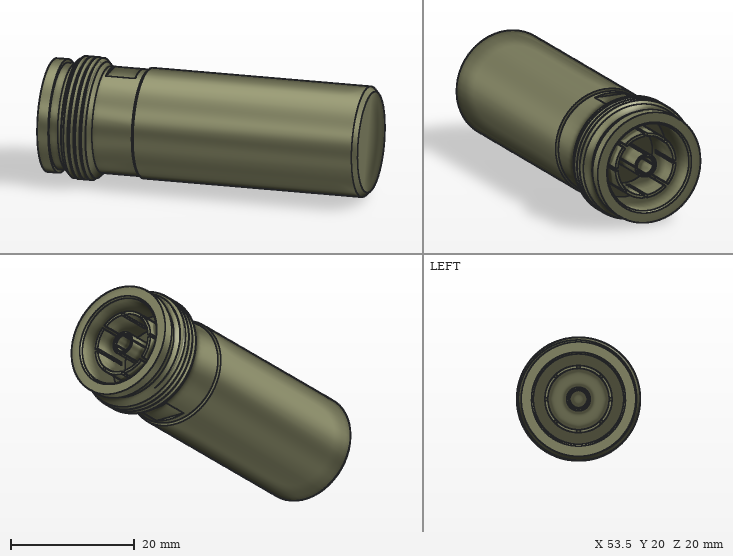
import cadquery as cq


TOTAL_LENGTH = 53.5
THREAD_RADIUS = 10.0

FLANGE_RADIUS = 9.25
FLANGE_LENGTH = 1.85
NECK_RADIUS = 8.67
COLLAR_START = 3.3
COLLAR_END = 9.05
NECK_END = 15.7
GROOVE_WIDTH = 0.35
GROOVE_RADIUS = 8.1
BODY_RADIUS = 9.0
BODY_CHAMFER = 0.8

THREAD_PITCH = 1.0
THREAD_DEPTH = 0.7
CREST_WIDTH = 0.12
THREAD_TURNS = 6
CUTTER_CLEARANCE = 0.1
TURNS_BEFORE_CENTRE = 2
GROOVE_CENTRE_AT_TOP = 5.35

FLAT_START = 9.7
FLAT_LENGTH = 4.9
FLAT_HEIGHT = 8.25

CAVITY_DEPTH = 9.0
CAVITY_RADIUS = 7.3
CAVITY_CHAMFER = 0.3
SLEEVE_OUTER_RADIUS = 5.43
SLEEVE_INNER_RADIUS = 4.95
SLEEVE_TIP = 1.3
SLEEVE_SLOTS = 8
SLEEVE_SLOT_WIDTH = 0.5
SLOT_END = 8.0
PIN_RADIUS = 1.9
PIN_HOLE_RADIUS = 1.4
PIN_HOLE_CHAMFER = 0.2
PIN_TIP = 1.3
PIN_SLOTS = 4
PIN_SLOT_WIDTH = 0.2


def cylinder(radius, start, end):
    """Solid cylinder on the X axis between two X positions."""
    return cq.Workplane("YZ", origin=(start, 0, 0)).circle(radius).extrude(end - start)


def make_outer_body():
    rise = THREAD_RADIUS - NECK_RADIUS
    body_start = NECK_END + GROOVE_WIDTH
    profile = [
        (0, 0),
        (0, FLANGE_RADIUS),
        (FLANGE_LENGTH, FLANGE_RADIUS),
        (FLANGE_LENGTH, NECK_RADIUS),
        (COLLAR_START, NECK_RADIUS),
        (COLLAR_START + rise, THREAD_RADIUS),
        (COLLAR_END - rise, THREAD_RADIUS),
        (COLLAR_END, NECK_RADIUS),
        (NECK_END, NECK_RADIUS),
        (NECK_END, GROOVE_RADIUS),
        (body_start, GROOVE_RADIUS),
        (body_start, BODY_RADIUS),
        (TOTAL_LENGTH - BODY_CHAMFER, BODY_RADIUS),
        (TOTAL_LENGTH, BODY_RADIUS - BODY_CHAMFER),
        (TOTAL_LENGTH, 0),
    ]
    return cq.Workplane("XZ").polyline(profile).close().revolve(360, (0, 0, 0), (1, 0, 0))


def make_thread_cutter():
    """Left-handed helical V-groove that runs out through both sloping collar ends."""
    half_width = (THREAD_PITCH - CREST_WIDTH) / 2
    half_outer = half_width * (THREAD_DEPTH + CUTTER_CLEARANCE) / THREAD_DEPTH
    root_radius = THREAD_RADIUS - THREAD_DEPTH
    outer_radius = THREAD_RADIUS + CUTTER_CLEARANCE
    start = GROOVE_CENTRE_AT_TOP - TURNS_BEFORE_CENTRE * THREAD_PITCH

    helix = cq.Wire.makeHelix(THREAD_PITCH, THREAD_TURNS * THREAD_PITCH, root_radius, lefthand=True)
    groove_profile = [(root_radius, 0), (outer_radius, half_outer), (outer_radius, -half_outer)]
    cutter = cq.Workplane("XZ").polyline(groove_profile).close().sweep(cq.Workplane(helix), isFrenet=True)
    cutter = cutter.rotate((0, 0, 0), (0, 1, 0), 90).rotate((0, 0, 0), (1, 0, 0), 180)
    return cutter.translate((start, 0, 0))


def make_flat_cutters():
    depth = BODY_RADIUS - FLAT_HEIGHT
    upper = cq.Workplane("XY").box(FLAT_LENGTH, 2 * BODY_RADIUS, depth, centered=(False, True, False))
    upper = upper.translate((FLAT_START, 0, FLAT_HEIGHT))
    return upper.union(upper.mirror("XY"))


def make_slot_cutter(count, width, radius, start):
    """Radial slots through a tube, from its tip to a point short of the cavity floor."""
    bar_span = 2 * (radius + width)
    bars = cq.Workplane("XY")
    for index in range(count // 2):
        bar = cq.Workplane("XY").box(SLOT_END - start, bar_span, width, centered=(False, True, True))
        bars = bars.union(bar.rotate((0, 0, 0), (1, 0, 0), index * 360 / count))
    return bars.translate((start, 0, 0))


def make_cavity():
    cavity = cylinder(CAVITY_RADIUS, 0, CAVITY_DEPTH)
    mouth = cq.Solid.makeCone(
        CAVITY_RADIUS + CAVITY_CHAMFER, CAVITY_RADIUS, CAVITY_CHAMFER, cq.Vector(0, 0, 0), cq.Vector(1, 0, 0)
    )
    return cavity.union(mouth)


def make_sleeve():
    sleeve = cylinder(SLEEVE_OUTER_RADIUS, SLEEVE_TIP, CAVITY_DEPTH)
    sleeve = sleeve.cut(cylinder(SLEEVE_INNER_RADIUS, SLEEVE_TIP, CAVITY_DEPTH))
    return sleeve.cut(make_slot_cutter(SLEEVE_SLOTS, SLEEVE_SLOT_WIDTH, SLEEVE_OUTER_RADIUS, SLEEVE_TIP))


def make_pin():
    pin = cylinder(PIN_RADIUS, PIN_TIP, CAVITY_DEPTH)
    pin = pin.cut(cylinder(PIN_HOLE_RADIUS, PIN_TIP, CAVITY_DEPTH))
    pin = pin.faces("<X").edges("%CIRCLE").edges(cq.selectors.RadiusNthSelector(0)).chamfer(PIN_HOLE_CHAMFER)
    return pin.cut(make_slot_cutter(PIN_SLOTS, PIN_SLOT_WIDTH, PIN_RADIUS, PIN_TIP))


connector = make_outer_body().cut(make_thread_cutter()).cut(make_flat_cutters())
connector = connector.cut(make_cavity())
result = connector.union(make_sleeve()).union(make_pin())